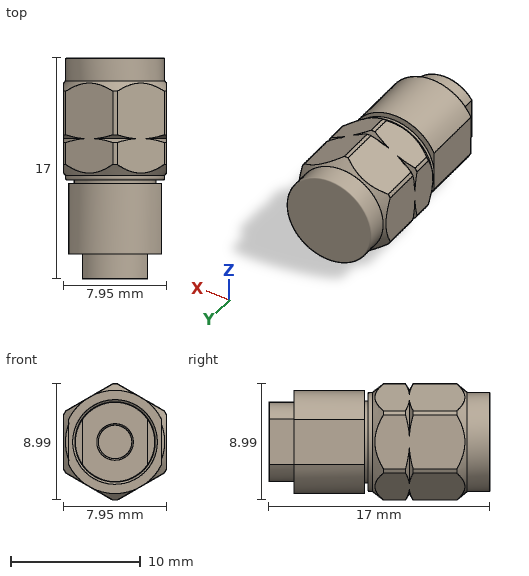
import cadquery as cq
import math

total_length = 17.02

tip_length = 1.9
tip_radius = 3.06
tip_flat_width = 5.02

body_end = 7.35
body_radius = 3.98
body_flat_width = 7.17

countersink_radius = 3.27
clearance_radius = 3.1
clearance_depth = 0.09

bore_radius = 1.3
bore_depth = 3.4
bore_chamfer = 0.12

neck_radius = 3.17

nut_start = 7.6
collar_radius = 3.83
front_rim_fillet = 0.15
back_rim_fillet = 0.1
hex_start = 7.97
hex_end = 15.27
hex_across_flats = 7.95
hex_corner_diameter = 8.99
hex_front_bevel = 0.85
hex_back_bevel = 0.8

groove_center = 10.8
groove_width = 0.6
groove_bottom_radius = 4.0


def cylinder(radius, start, end):
    """Cylinder about the Y axis, from Y = start to Y = end."""
    return cq.Workplane("XZ", origin=(0, start, 0)).circle(radius).extrude(start - end)


def revolve_profile(points):
    """Solid of revolution about the Y axis from (radius, Y) points."""
    return cq.Workplane("XY").polyline(points).close().revolve(360, (0, 0, 0), (0, 1, 0))


def cut_to_flats(solid, width, start, end):
    """Trim a solid to a given width in X, leaving two flats facing -X and +X."""
    height = 2 * body_radius
    slab = cq.Workplane("XY").box(width, end - start, height).translate((0, (start + end) / 2, 0))
    return solid.intersect(slab)


def make_tip():
    """Tip stub: flats up to the body face, fully round where it sits in the body."""
    flatted = cut_to_flats(cylinder(tip_radius, 0, tip_length), tip_flat_width, 0, tip_length)
    return flatted.union(cylinder(tip_radius, tip_length, body_end))


def make_body():
    body = cut_to_flats(
        cylinder(body_radius, tip_length, body_end), body_flat_width, tip_length, body_end
    )
    countersink_end = tip_length + countersink_radius - clearance_radius
    groove_floor = countersink_end + clearance_depth
    groove = revolve_profile([
        (tip_radius, tip_length),
        (countersink_radius, tip_length),
        (clearance_radius, countersink_end),
        (clearance_radius, groove_floor),
        (tip_radius, groove_floor),
    ])
    return body.cut(groove)


def make_hexagon():
    """Hexagon with corners at +Z and -Z, turned to a bevelled and grooved profile."""
    hexagon = (
        cq.Workplane("XZ", origin=(0, hex_start, 0))
        .polygon(6, hex_across_flats / math.cos(math.pi / 6))
        .extrude(hex_start - hex_end)
        .rotate((0, 0, 0), (0, 1, 0), 30)
    )
    corner_radius = hex_corner_diameter / 2
    turned_profile = revolve_profile([
        (0, hex_start),
        (collar_radius, hex_start),
        (corner_radius, hex_start + hex_front_bevel),
        (corner_radius, groove_center - groove_width / 2),
        (groove_bottom_radius, groove_center),
        (corner_radius, groove_center + groove_width / 2),
        (corner_radius, hex_end - hex_back_bevel),
        (collar_radius, hex_end),
        (0, hex_end),
    ])
    return hexagon.intersect(turned_profile)


def make_nut():
    collar = cylinder(collar_radius, nut_start, total_length)
    collar = collar.faces("<Y").edges().fillet(front_rim_fillet)
    collar = collar.faces(">Y").edges().fillet(back_rim_fillet)
    return collar.union(make_hexagon())


def make_bore():
    return revolve_profile([
        (0, 0),
        (bore_radius + bore_chamfer, 0),
        (bore_radius, bore_chamfer),
        (bore_radius, bore_depth),
        (0, bore_depth),
    ])


neck = cylinder(neck_radius, body_end, nut_start)
result = make_body().union(make_tip()).union(neck).union(make_nut()).cut(make_bore())